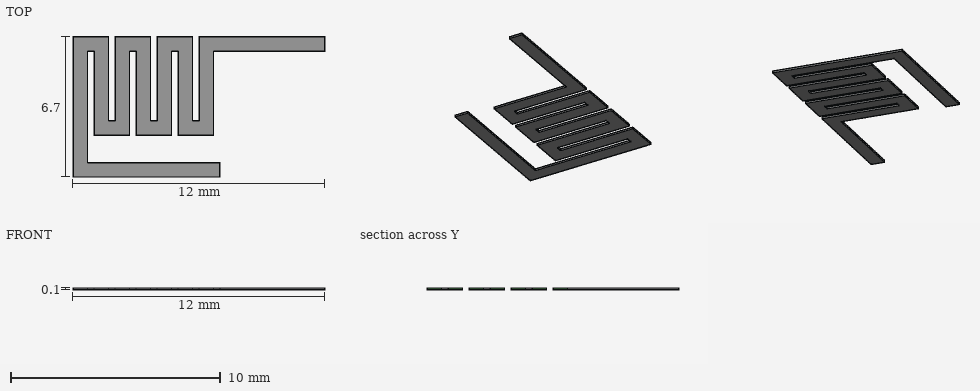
import cadquery as cq

length = 12.0
width = 6.7
thickness = 0.1

leg_count = 7
last_leg_x = length / 2
leg_gap = 0.3
leg_length = 4.7
lower_arm_length = 7.0

leg_pitch = last_leg_x / (leg_count - 1)
track_width = leg_pitch - leg_gap
leg_bottom = width - leg_length
top_track_y = width - track_width


def strip(x, y, size_x, size_y):
    """Flat strip with its lower-left corner at (x, y)."""
    return cq.Workplane("XY").box(size_x, size_y, thickness, centered=False).translate((x, y, 0))


result = strip(0, 0, track_width, width)
result = result.union(strip(0, 0, lower_arm_length, track_width))

for leg in range(1, leg_count):
    leg_x = leg * leg_pitch
    link_y = top_track_y if leg % 2 == 1 else leg_bottom
    link = strip(leg_x - leg_pitch, link_y, leg_pitch + track_width, track_width)
    result = result.union(strip(leg_x, leg_bottom, track_width, leg_length)).union(link)

upper_arm = strip(last_leg_x, top_track_y, length - last_leg_x, track_width)
result = result.union(upper_arm).clean()